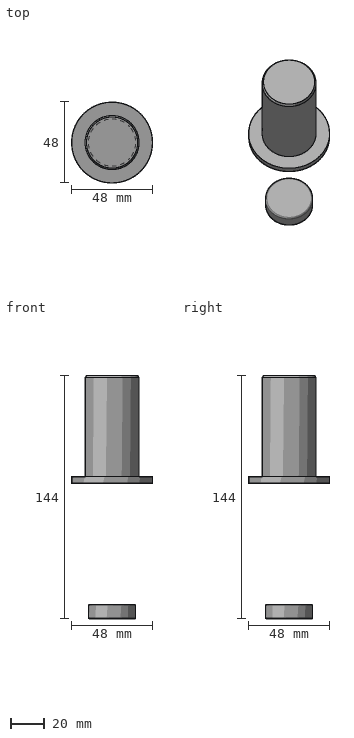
import cadquery as cq

total_height = 144.0

flange_diameter = 48.0
flange_thickness = 4.0
shaft_diameter = 32.0
pin_height = 64.0
pin_chamfer_height = 1.5
pin_chamfer_inset = 0.9

disc_diameter = 28.0
disc_thickness = 8.5
disc_fillet = 0.7

pin_base_z = total_height - pin_height


def make_pin():
    """Flange with a plain shaft rising from it, chamfered at the free end."""
    flange = cq.Workplane("XY").circle(flange_diameter / 2).extrude(flange_thickness)
    shaft = cq.Workplane("XY").circle(shaft_diameter / 2).extrude(pin_height)
    shaft = shaft.faces(">Z").chamfer(pin_chamfer_height, pin_chamfer_inset)
    return flange.union(shaft).translate((0, 0, pin_base_z))


def make_disc():
    """Short disc with both rims rounded."""
    disc = cq.Workplane("XY").circle(disc_diameter / 2).extrude(disc_thickness)
    return disc.faces("<Z or >Z").fillet(disc_fillet)


pin = make_pin()
disc = make_disc()

result = cq.Compound.makeCompound([pin.val(), disc.val()])